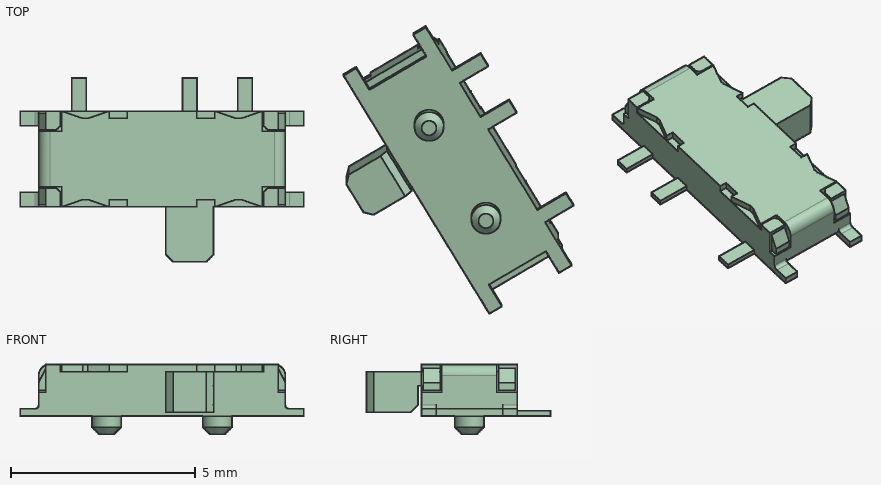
import cadquery as cq

total_length = 7.7
body_width = 2.6
body_height = 1.4
sheet = 0.2

foot_reach = 0.5
foot_width = 0.4
foot_fillet = 0.1
cover_bend_radius = 0.3
cover_length = total_length - 2 * foot_reach
side_y = body_width / 2
end_x = cover_length / 2

notch_length = 0.62
notch_width = 0.555
notch_bottom = 0.65
notch_inner_x = end_x - notch_length
notch_inner_y = side_y - notch_width

relief_depth = 0.2
slot_inner_x = 0.94
slot_outer_x = 1.43
vee_flat = 0.14

base_length = cover_length - 2 * sheet
base_height = body_height - sheet
base_end_x = base_length / 2

post_gap_x = 0.03
post_gap_y = 0.05
post_chamfer = 0.11
wedge_bottom = 0.69
wedge_shoulder = 0.91
wedge_top = 1.3
wedge_inset = 0.055

peg_spacing = 3.0
peg_diameter = 0.8
peg_length = 0.5
peg_chamfer = 0.2

terminal_pitch = 1.5
terminal_width = 0.4
terminal_length = 0.9
terminal_thickness = 0.15
terminal_positions = (-1.5, 0.5, 1.5)

handle_x = terminal_pitch / 2
handle_width = 1.3
handle_reach = 1.49
handle_bottom = 0.1
handle_chamfer = 0.2
neck_length = 0.09
neck_bottom = 0.82

ENDS = (-1, 1)
CORNERS = [(sx, sy) for sx in ENDS for sy in ENDS]


def block(x0, x1, y0, y1, z0, z1):
    """Box between two opposite corners, given in any order along each axis."""
    return (
        cq.Workplane("XY")
        .box(abs(x1 - x0), abs(y1 - y0), abs(z1 - z0))
        .translate(((x0 + x1) / 2, (y0 + y1) / 2, (z0 + z1) / 2))
    )


def edge_vee(sx, sy):
    """Shallow flat-bottomed vee between a corner notch and an edge slot."""
    middle = (notch_inner_x + slot_outer_x) / 2
    bottom_y = side_y - relief_depth
    outline = [
        (notch_inner_x, side_y),
        (middle + vee_flat / 2, bottom_y),
        (middle - vee_flat / 2, bottom_y),
        (slot_outer_x, side_y),
    ]
    return (
        cq.Workplane("XY")
        .workplane(offset=base_height)
        .polyline([(sx * x, sy * y) for x, y in outline])
        .close()
        .extrude(sheet)
    )


def make_cover():
    """Folded sheet over the base: top plate, end walls and all cut-outs."""
    cover = block(-end_x, end_x, -side_y, side_y, sheet, body_height)
    cover = cover.edges("|Y and >Z").fillet(cover_bend_radius)
    cover = cover.cut(block(-base_end_x, base_end_x, -side_y, side_y, 0, base_height))
    for sx, sy in CORNERS:
        notch = block(
            sx * notch_inner_x, sx * end_x, sy * notch_inner_y, sy * side_y, notch_bottom, body_height
        )
        slot = block(
            sx * slot_inner_x, sx * slot_outer_x,
            sy * (side_y - relief_depth), sy * side_y,
            base_height, body_height,
        )
        cover = cover.cut(notch).cut(slot).cut(edge_vee(sx, sy))
    return cover


def make_foot(sx, sy):
    """Flat mounting foot with a concave fillet up to the end wall."""
    fillet_top = sheet + foot_fillet
    foot = (
        cq.Workplane("XZ")
        .moveTo(sx * base_end_x, 0)
        .lineTo(sx * total_length / 2, 0)
        .lineTo(sx * total_length / 2, sheet)
        .lineTo(sx * (end_x + foot_fillet), sheet)
        .radiusArc((sx * end_x, fillet_top), sx * foot_fillet)
        .lineTo(sx * base_end_x, fillet_top)
        .close()
        .extrude(foot_width / 2, both=True)
    )
    return foot.translate((0, sy * (side_y - foot_width / 2), 0))


def make_post(sx, sy):
    """Corner post of the base, flush with the top of the cover."""
    inner_x = notch_inner_x + post_gap_x
    inner_y = notch_inner_y + post_gap_y
    outline = [
        (base_end_x, side_y),
        (inner_x, side_y),
        (inner_x, inner_y + post_chamfer),
        (inner_x + post_chamfer, inner_y),
        (base_end_x, inner_y),
    ]
    return (
        cq.Workplane("XY")
        .workplane(offset=base_height)
        .polyline([(sx * x, sy * y) for x, y in outline])
        .close()
        .extrude(sheet)
    )


def make_wedge(sx, sy):
    """Sloped retaining lug on the end face of the base."""
    inner_y = notch_inner_y + post_gap_y
    outer_y = side_y - wedge_inset
    outline = [
        (base_end_x, wedge_bottom),
        (end_x, wedge_bottom),
        (end_x, wedge_shoulder),
        (base_end_x, wedge_top),
    ]
    wedge = (
        cq.Workplane("XZ")
        .polyline([(sx * x, z) for x, z in outline])
        .close()
        .extrude((outer_y - inner_y) / 2, both=True)
    )
    return wedge.translate((0, sy * (inner_y + outer_y) / 2, 0))


def make_pegs():
    return (
        cq.Workplane("XY")
        .pushPoints([(-peg_spacing / 2, 0), (peg_spacing / 2, 0)])
        .circle(peg_diameter / 2)
        .extrude(-peg_length)
        .faces("<Z")
        .chamfer(peg_chamfer)
    )


def make_terminal(position):
    x = position * terminal_pitch
    half = terminal_width / 2
    return block(x - half, x + half, side_y, side_y + terminal_length, 0, terminal_thickness)


def make_handle():
    """Slider handle hanging from a short neck on the -Y side."""
    tip_y = -side_y - handle_reach
    back_y = -side_y - neck_length
    half = handle_width / 2
    handle = block(handle_x - half, handle_x + half, tip_y, back_y, handle_bottom, base_height)
    handle = handle.edges("|Z and <Y").chamfer(handle_chamfer)
    handle = handle.edges("|X and >Y and <Z").chamfer(handle_chamfer)
    neck = block(handle_x - half, handle_x + half, back_y, -side_y, neck_bottom, base_height)
    return handle.union(neck)


result = block(-base_end_x, base_end_x, -side_y, side_y, 0, base_height)
result = result.union(make_cover())
for corner in CORNERS:
    result = result.union(make_foot(*corner)).union(make_post(*corner)).union(make_wedge(*corner))
for terminal_position in terminal_positions:
    result = result.union(make_terminal(terminal_position))
result = result.union(make_pegs()).union(make_handle())